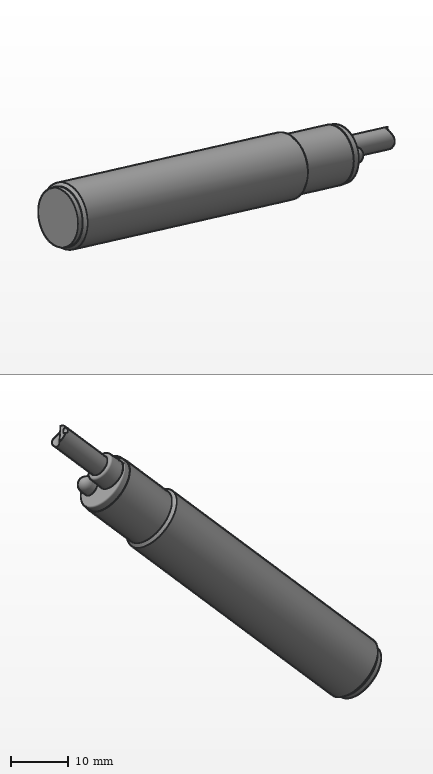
import cadquery as cq

total_length = 78.5

body_front = 1.0
body_rear = 53.0
cap_seam = 63.6
cap_rear = 65.0
gland_rear = 68.05

body_diameter = 12.0
neck_diameter = 10.8
cap_diameter = 10.6
cap_round = 0.3
nose_diameter = 10.6
body_chamfer = (body_diameter - neck_diameter) / 2

cable_x = -2.3
cable_diameter = 3.9
gland_base_diameter = 5.8
gland_tip_diameter = 5.6
gland_round = 0.4

lamp_x = 2.6
lamp_diameter = 3.0
lamp_rear = 67.75

groove_radius = 1.6
groove_depth = 1.1
groove_x = cable_x + 0.95
groove_tilt = 7.0
dent_radius = 0.8
dent_depth = 0.5


def cylinder(diameter, start, end, x=0.0):
    """Cylinder along +Y between two stations."""
    plane = cq.Plane(origin=(x, start, 0), xDir=(1, 0, 0), normal=(0, 1, 0))
    return cq.Workplane(plane).circle(diameter / 2).extrude(end - start)


def make_housing():
    nose = cylinder(nose_diameter, 0, body_front)
    body = cylinder(body_diameter, body_front, body_rear).faces("<Y or >Y").chamfer(body_chamfer)
    neck = cylinder(neck_diameter, body_rear, cap_seam)
    cap = cylinder(cap_diameter, cap_seam, cap_rear).faces(">Y").fillet(cap_round)
    return nose.union(body).union(neck).union(cap)


def make_gland():
    plane = cq.Plane(origin=(cable_x, cap_rear, 0), xDir=(1, 0, 0), normal=(0, 1, 0))
    return (
        cq.Workplane(plane)
        .circle(gland_base_diameter / 2)
        .workplane(offset=gland_rear - cap_rear)
        .circle(gland_tip_diameter / 2)
        .loft()
        .faces(">Y")
        .fillet(gland_round)
    )


def make_cable():
    cable = cylinder(cable_diameter, gland_rear, total_length, cable_x)
    radius = cable_diameter / 2
    groove = (
        cq.Workplane("XY")
        .circle(groove_radius)
        .extrude(2 * cable_diameter, both=True)
        .rotate((0, 0, 0), (1, 0, 0), groove_tilt)
        .translate((groove_x, total_length - groove_depth + groove_radius, radius))
    )
    dent = cq.Workplane("XY").sphere(dent_radius).translate(
        (cable_x - radius, total_length - dent_depth + dent_radius, 0)
    )
    return cable.cut(groove).cut(dent)


def make_lamp():
    dome_radius = lamp_diameter / 2
    dome_center = lamp_rear - dome_radius
    dome = cq.Workplane("XY").sphere(dome_radius).translate((lamp_x, dome_center, 0))
    return cylinder(lamp_diameter, cap_rear, dome_center, lamp_x).union(dome)


result = make_housing().union(make_gland()).union(make_cable()).union(make_lamp())